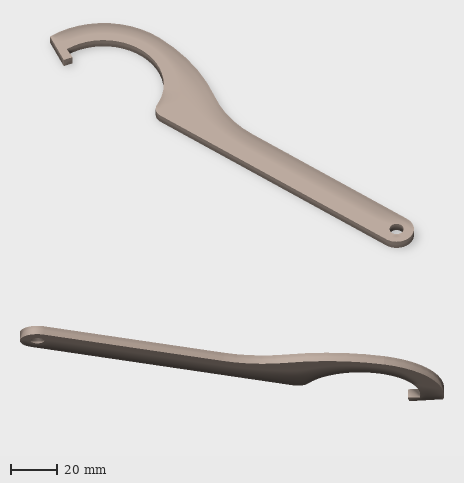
import cadquery as cq
import math

length = 195.5
crown_height = 36.5
thickness = 4.0

handle_width = 15.0
handle_hole_diameter = 6.0

bore_diameter = 52.2
bore_radius = bore_diameter / 2
bore_center_x = 35.4
hook_radius = 37.7
back_radius = 78.2
back_lean = math.radians(3.0)
neck_radius = 47.0
heel_radius = 5.0

hook_tip_y = 8.8
tooth_angle = math.radians(-30)
end_face_length = 15.0
tooth_width = 4.1
tooth_taper = math.radians(4)


def offset_point(start, angle, distance):
    """Point at a given direction and distance from a start point."""
    return start[0] + distance * math.cos(angle), start[1] + distance * math.sin(angle)


def ray_to_circle(start, angle, center, radius):
    """First point where a ray starting inside a circle meets it."""
    dx = start[0] - center[0]
    dy = start[1] - center[1]
    along = dx * math.cos(angle) + dy * math.sin(angle)
    distance = -along + math.sqrt(along**2 - dx**2 - dy**2 + radius**2)
    return offset_point(start, angle, distance)


def arc_middle(center, radius, start, end):
    """Middle point of the shorter arc between two points of a circle."""
    toward_x = (start[0] + end[0]) / 2 - center[0]
    toward_y = (start[1] + end[1]) / 2 - center[1]
    return offset_point(center, math.atan2(toward_y, toward_x), radius)


bore_center = (bore_center_x, 0.0)
hook_tip = (0.0, hook_tip_y)
hook_center_y = crown_height - hook_radius
hook_center = (math.sqrt(hook_radius**2 - (hook_tip_y - hook_center_y) ** 2), hook_center_y)

back_direction = math.pi / 2 - back_lean
back_start = offset_point(hook_center, back_direction, hook_radius)
back_center = offset_point(back_start, back_direction, -back_radius)
neck_center_y = handle_width + neck_radius
neck_rise = neck_center_y - back_center[1]
neck_run = math.sqrt((back_radius + neck_radius) ** 2 - neck_rise**2)
neck_center = (back_center[0] + neck_run, neck_center_y)
neck_start = offset_point(back_center, math.atan2(neck_rise, neck_run), back_radius)
neck_end = (neck_center[0], handle_width)

handle_end_radius = handle_width / 2
handle_end_center = (length - handle_end_radius, handle_end_radius)

nose_outer = offset_point(hook_tip, tooth_angle, end_face_length)
nose_inner = offset_point(nose_outer, tooth_angle + math.pi / 2, tooth_width)
tooth_root = ray_to_circle(
    nose_inner, tooth_angle + math.pi + tooth_taper, bore_center, bore_radius
)
bore_top = (bore_center_x, bore_radius)
heel = (bore_center_x + bore_radius, 0.0)

plate = (
    cq.Workplane("XY")
    .moveTo(*hook_tip)
    .threePointArc(arc_middle(hook_center, hook_radius, hook_tip, back_start), back_start)
    .threePointArc(arc_middle(back_center, back_radius, back_start, neck_start), neck_start)
    .threePointArc(arc_middle(neck_center, neck_radius, neck_start, neck_end), neck_end)
    .lineTo(handle_end_center[0], handle_width)
    .threePointArc((length, handle_end_radius), (handle_end_center[0], 0.0))
    .lineTo(*heel)
    .threePointArc(bore_top, tooth_root)
    .lineTo(*nose_inner)
    .lineTo(*nose_outer)
    .close()
    .extrude(thickness)
)

plate = plate.edges(cq.NearestToPointSelector((heel[0], heel[1], thickness / 2))).fillet(heel_radius)

hanging_hole = (
    cq.Workplane("XY")
    .center(*handle_end_center)
    .circle(handle_hole_diameter / 2)
    .extrude(thickness)
)

result = plate.cut(hanging_hole)